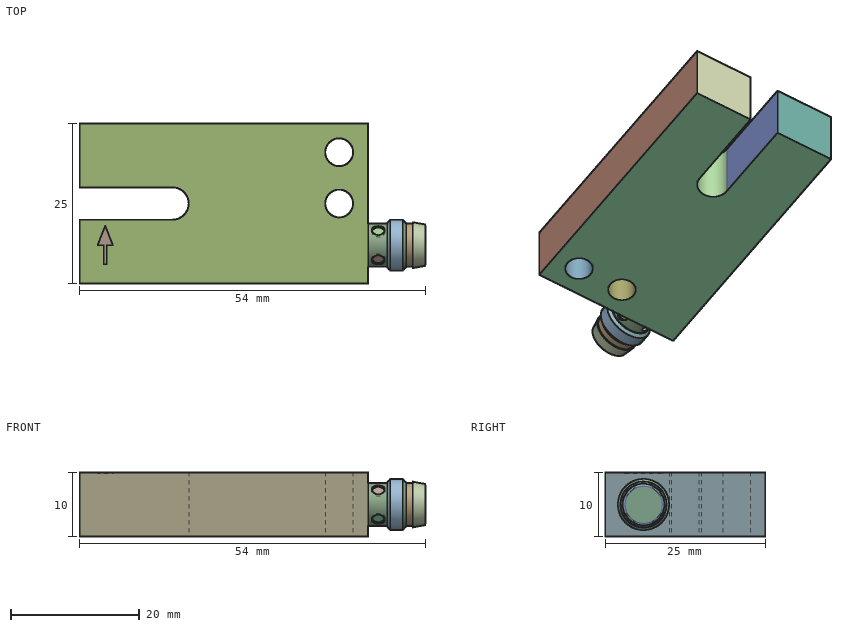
import cadquery as cq

BODY_LENGTH = 45.0
BODY_WIDTH = 25.0
BODY_HEIGHT = 10.0
TOP_Z = BODY_HEIGHT / 2

SLOT_WIDTH = 5.0
SLOT_LENGTH = 17.0

HOLE_DIAMETER = 4.3
HOLE_X = 40.5
HOLE_YS = (0.0, 8.0)

ARROW_X = 4.0
ARROW_TIP_Y = -3.5
ARROW_HEAD_LENGTH = 3.0
ARROW_HEAD_WIDTH = 2.4
ARROW_LENGTH = 6.0
ARROW_SHAFT_WIDTH = 0.4
ARROW_DEPTH = 0.1

CONNECTOR_Y = -6.5
CONNECTOR_LENGTH = 9.0
STEM_DIAMETER = 6.77
COLLAR_START = 3.0
COLLAR_END = 6.0
COLLAR_DIAMETER = 8.0
COLLAR_REAR_CHAMFER = 0.5
HEAD_START = 7.0
HEAD_BASE_DIAMETER = 7.2
HEAD_TIP_DIAMETER = 6.5
HEAD_END_DIAMETER = 5.8
HEAD_TIP_BEVEL_LENGTH = 0.1

SPANNER_HOLE_DIAMETER = 2.0
SPANNER_HOLE_OFFSET = 1.6
SPANNER_HOLE_DEPTH = 0.5
SPANNER_HOLE_COUNT = 4
SPANNER_HOLE_FIRST_ANGLE = 45.0


def make_body():
    body = cq.Workplane("XY").box(
        BODY_LENGTH, BODY_WIDTH, BODY_HEIGHT, centered=(False, True, True)
    )
    slot_radius = SLOT_WIDTH / 2
    straight_end = SLOT_LENGTH - slot_radius
    slot = (
        cq.Workplane("XY", origin=(0, 0, -TOP_Z))
        .moveTo(0, -slot_radius)
        .lineTo(straight_end, -slot_radius)
        .threePointArc((SLOT_LENGTH, 0), (straight_end, slot_radius))
        .lineTo(0, slot_radius)
        .close()
        .extrude(BODY_HEIGHT)
    )
    holes = (
        cq.Workplane("XY", origin=(0, 0, -TOP_Z))
        .pushPoints([(HOLE_X, y) for y in HOLE_YS])
        .circle(HOLE_DIAMETER / 2)
        .extrude(BODY_HEIGHT)
    )
    return body.cut(slot).cut(holes)


def make_arrow():
    half_head = ARROW_HEAD_WIDTH / 2
    half_shaft = ARROW_SHAFT_WIDTH / 2
    return (
        cq.Workplane("XY", origin=(ARROW_X, ARROW_TIP_Y, TOP_Z))
        .moveTo(0, 0)
        .lineTo(half_head, -ARROW_HEAD_LENGTH)
        .lineTo(half_shaft, -ARROW_HEAD_LENGTH)
        .lineTo(half_shaft, -ARROW_LENGTH)
        .lineTo(-half_shaft, -ARROW_LENGTH)
        .lineTo(-half_shaft, -ARROW_HEAD_LENGTH)
        .lineTo(-half_head, -ARROW_HEAD_LENGTH)
        .close()
        .extrude(-ARROW_DEPTH)
    )


def make_connector():
    stem_radius = STEM_DIAMETER / 2
    collar_radius = COLLAR_DIAMETER / 2
    front_chamfer = collar_radius - stem_radius
    turned = (
        cq.Workplane("XY", origin=(BODY_LENGTH, CONNECTOR_Y, 0))
        .moveTo(0, 0)
        .lineTo(0, stem_radius)
        .lineTo(COLLAR_START, stem_radius)
        .lineTo(COLLAR_START, collar_radius - COLLAR_REAR_CHAMFER)
        .lineTo(COLLAR_START + COLLAR_REAR_CHAMFER, collar_radius)
        .lineTo(COLLAR_END - front_chamfer, collar_radius)
        .lineTo(COLLAR_END, stem_radius)
        .lineTo(HEAD_START, stem_radius)
        .lineTo(HEAD_START, HEAD_BASE_DIAMETER / 2)
        .lineTo(CONNECTOR_LENGTH - HEAD_TIP_BEVEL_LENGTH, HEAD_TIP_DIAMETER / 2)
        .lineTo(CONNECTOR_LENGTH, HEAD_END_DIAMETER / 2)
        .lineTo(CONNECTOR_LENGTH, 0)
        .close()
        .revolve(360, (0, 0, 0), (1, 0, 0))
    )
    for index in range(SPANNER_HOLE_COUNT):
        angle = SPANNER_HOLE_FIRST_ANGLE + index * 360 / SPANNER_HOLE_COUNT
        turned = turned.cut(make_spanner_hole(angle))
    return turned


def make_spanner_hole(angle):
    floor_radius = STEM_DIAMETER / 2 - SPANNER_HOLE_DEPTH
    hole_x = BODY_LENGTH + SPANNER_HOLE_OFFSET
    return (
        cq.Workplane("XY", origin=(hole_x, CONNECTOR_Y, floor_radius))
        .circle(SPANNER_HOLE_DIAMETER / 2)
        .extrude(STEM_DIAMETER / 2)
        .rotate((0, CONNECTOR_Y, 0), (1, CONNECTOR_Y, 0), angle)
    )


result = make_body().cut(make_arrow()).union(make_connector())